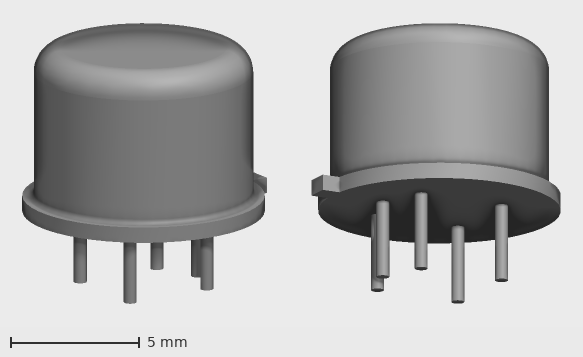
import math

import cadquery as cq

flange_diameter = 9.4
flange_thickness = 0.62
tab_width = 0.94
overall_depth = 10.1
tab_reach = overall_depth - flange_diameter / 2

overall_height = 9.6
can_diameter = 8.5
crown_radius = 1.0
base_fillet_radius = 0.2

lead_diameter = 0.5
lead_length = 3.0
lead_circle_radius = 2.5
lead_angles = (45, 90, 135, 225, 315)

flange_top = lead_length + flange_thickness


def make_flange():
    """Round base plate with a rectangular tab pointing toward +Y."""
    disc = (
        cq.Workplane("XY")
        .workplane(offset=lead_length)
        .circle(flange_diameter / 2)
        .extrude(flange_thickness)
    )
    tab = (
        cq.Workplane("XY")
        .workplane(offset=lead_length)
        .center(0, tab_reach / 2)
        .rect(tab_width, tab_reach)
        .extrude(flange_thickness)
    )
    return disc.union(tab)


def make_can():
    """Solid can, revolved with a rounded crown and a concave fillet at its foot."""
    can_radius = can_diameter / 2
    foot_radius = can_radius + base_fillet_radius
    diagonal = math.sqrt(0.5)
    fillet_middle = (
        foot_radius - base_fillet_radius * diagonal,
        flange_top + base_fillet_radius * (1 - diagonal),
    )
    crown_middle = (
        can_radius - crown_radius * (1 - diagonal),
        overall_height - crown_radius * (1 - diagonal),
    )
    return (
        cq.Workplane("XZ")
        .moveTo(0, flange_top)
        .lineTo(foot_radius, flange_top)
        .threePointArc(fillet_middle, (can_radius, flange_top + base_fillet_radius))
        .lineTo(can_radius, overall_height - crown_radius)
        .threePointArc(crown_middle, (can_radius - crown_radius, overall_height))
        .lineTo(0, overall_height)
        .close()
        .revolve(360, (0, 0, 0), (0, 1, 0))
    )


def make_leads():
    """Straight round leads reaching from Z = 0 up to the flange."""
    centers = [
        (
            lead_circle_radius * math.cos(math.radians(angle)),
            lead_circle_radius * math.sin(math.radians(angle)),
        )
        for angle in lead_angles
    ]
    return cq.Workplane("XY").pushPoints(centers).circle(lead_diameter / 2).extrude(lead_length)


result = make_flange().union(make_can()).union(make_leads())